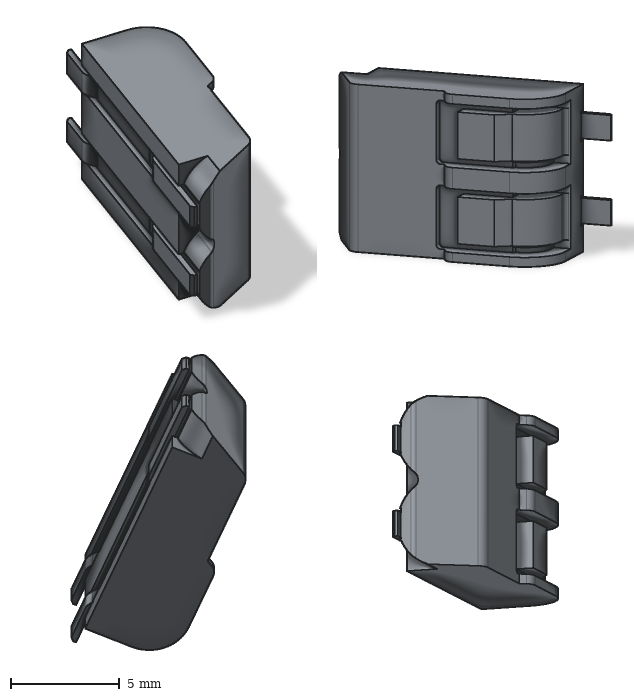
import cadquery as cq
import math


overall_length = 13.1
overall_height = 4.5
housing_width = 7.9
pole_pitch = 4.0
pole_centers = (-pole_pitch / 2, pole_pitch / 2)
housing_start = 1.4
housing_base = 0.15
rear_radius = 2.0
shoulder_height = 3.96
shoulder_foot_x = 6.81
slope_angle = math.radians(60)
slope_foot_height = 1.05
crest_radius = 0.5
brow_radius = 0.6
nose_radius = 0.45

nose_start = 11.49
scallop_radius = 2.08
scallop_axis_height = 2.36
valley_edge = 0.37

groove_width = 1.4
groove_floor = 0.44
lead_width = 1.2
lead_thickness = 0.3
lead_chamfer = 0.15
lead_embed = 0.2
tail_bend_start = 1.71
tail_bend_radius = 0.7
tail_bend_angle = math.radians(42)
pad_bend_start = 9.2
pad_bend_radius = 0.45
pad_bend_angle = math.radians(30)
pad_slope_run = 0.5
pad_end = 7.92

recess_width = 3.0
recess_floor = 1.76
recess_end = 7.2
recess_corner_radius = 0.2
ledge_height = 3.52
ledge_x = 3.6
lever_width = 2.2
lever_axis = (3.48, 2.17)
lever_radius = 1.75
lever_foot_radius = 0.19
lever_grip_height = 4.36
lever_grip_start = 4.2
lever_grip_end = 6.0
boss_radius = 1.24
boss_width = 0.24


def plate(profile, width, center):
    """Extrude an XY profile symmetrically about Z = center."""
    return profile.extrude(width / 2, both=True).translate((0, 0, center))


def outline(x, y):
    return cq.Workplane("XY").moveTo(x, y)


def housing():
    slope = math.tan(slope_angle)
    crest_x = shoulder_foot_x - (overall_height - shoulder_height) / slope
    brow_x = overall_length - (shoulder_height - slope_foot_height) / slope
    profile = (
        outline(housing_start, housing_base)
        .lineTo(housing_start, overall_height)
        .lineTo(crest_x, overall_height)
        .lineTo(shoulder_foot_x, shoulder_height)
        .lineTo(brow_x, shoulder_height)
        .lineTo(overall_length, slope_foot_height)
        .lineTo(overall_length, housing_base)
        .close()
    )
    block = plate(profile, housing_width, 0)

    def rounded(body, x, y, radius):
        probe = cq.selectors.NearestToPointSelector((x, y, 0))
        return body.edges("|Z").edges(probe).fillet(radius)

    block = rounded(block, housing_start, overall_height, rear_radius)
    block = rounded(block, crest_x, overall_height, crest_radius)
    block = rounded(block, brow_x, shoulder_height, brow_radius)
    return rounded(block, overall_length, slope_foot_height, nose_radius)


def nose_relief():
    """Space below the nose: one bulge per pole with a rounded valley between them."""
    half_pitch = pole_pitch / 2
    half_width = housing_width / 2

    def bulge_height(offset):
        return scallop_axis_height - math.sqrt(scallop_radius**2 - offset**2)

    valley_offset = half_pitch - valley_edge
    valley_radius = scallop_radius * valley_edge / valley_offset
    inflection = bulge_height(valley_offset)
    valley_axis = inflection - math.sqrt(valley_radius**2 - valley_edge**2)
    bulge_bottom = scallop_axis_height - scallop_radius
    side_height = bulge_height(half_width - half_pitch)
    profile = (
        cq.Workplane("YZ", origin=(nose_start, 0, 0))
        .moveTo(0, -half_width)
        .lineTo(side_height, -half_width)
        .threePointArc((bulge_bottom, -half_pitch), (inflection, -valley_edge))
        .threePointArc((valley_axis + valley_radius, 0), (inflection, valley_edge))
        .threePointArc((bulge_bottom, half_pitch), (side_height, half_width))
        .lineTo(0, half_width)
        .close()
    )
    return profile.extrude(overall_length - nose_start)


def groove(center):
    profile = outline(0, 0).rect(overall_length, groove_floor, centered=False)
    return plate(profile, groove_width, center)


def bend_end(start, radius, angle, direction):
    """End point of an upward bend that leaves a level line in the given X direction."""
    x, y = start
    return (x + direction * radius * math.sin(angle), y + radius * (1 - math.cos(angle)))


def tail_lead(center):
    """Rear lead: level tail that bends up into the groove floor."""
    inner_radius = tail_bend_radius - lead_thickness
    outer_start = (tail_bend_start, 0)
    inner_start = (tail_bend_start, lead_thickness)
    outer_mid = bend_end(outer_start, tail_bend_radius, tail_bend_angle / 2, 1)
    outer_end = bend_end(outer_start, tail_bend_radius, tail_bend_angle, 1)
    inner_mid = bend_end(inner_start, inner_radius, tail_bend_angle / 2, 1)
    inner_end = bend_end(inner_start, inner_radius, tail_bend_angle, 1)
    rise = groove_floor + lead_embed - outer_end[1]
    run = rise / math.tan(tail_bend_angle)
    profile = (
        outline(lead_chamfer, 0)
        .lineTo(*outer_start)
        .threePointArc(outer_mid, outer_end)
        .lineTo(outer_end[0] + run, outer_end[1] + rise)
        .lineTo(inner_end[0] + run, inner_end[1] + rise)
        .lineTo(*inner_end)
        .threePointArc(inner_mid, inner_start)
        .lineTo(0, lead_thickness)
        .lineTo(0, lead_chamfer)
        .close()
    )
    return plate(profile, lead_width, center)


def pad_lead(center):
    """Front lead: level pad, a gentle ramp, then a level end just proud of the groove floor."""
    start = (pad_bend_start, 0)
    lower_mid = bend_end(start, pad_bend_radius, pad_bend_angle / 2, -1)
    lower_end = bend_end(start, pad_bend_radius, pad_bend_angle, -1)
    ramp_top = (lower_end[0] - pad_slope_run, lower_end[1] + pad_slope_run * math.tan(pad_bend_angle))
    bend_run = pad_bend_start - lower_end[0]
    level_x = ramp_top[0] - bend_run
    level_y = ramp_top[1] + lower_end[1]
    upper_mid = (level_x + pad_bend_start - lower_mid[0], level_y - lower_mid[1])
    embedded_top = groove_floor + lead_embed
    ramp_back_x = pad_bend_start - (embedded_top - lead_thickness) / math.tan(pad_bend_angle)
    profile = (
        outline(overall_length - lead_chamfer, 0)
        .lineTo(*start)
        .threePointArc(lower_mid, lower_end)
        .lineTo(*ramp_top)
        .threePointArc(upper_mid, (level_x, level_y))
        .lineTo(pad_end, level_y)
        .lineTo(pad_end, embedded_top)
        .lineTo(ramp_back_x, embedded_top)
        .lineTo(pad_bend_start, lead_thickness)
        .lineTo(overall_length, lead_thickness)
        .lineTo(overall_length, lead_chamfer)
        .close()
    )
    return plate(profile, lead_width, center)


def lever_recess(center):
    """Deep pocket at the rear, continued forward above the ledge with rounded end corners."""
    deep = outline(0, recess_floor).rect(ledge_x, overall_height - recess_floor, centered=False)
    shallow = outline(0, ledge_height).rect(recess_end, overall_height - ledge_height, centered=False)
    upper = plate(shallow, recess_width, center).edges("|Y and >X").fillet(recess_corner_radius)
    return plate(deep, recess_width, center).union(upper)


def point_on(axis, radius, degrees):
    angle = math.radians(degrees)
    return (axis[0] + radius * math.cos(angle), axis[1] + radius * math.sin(angle))


def lever(center):
    """Rounded lever with a filleted foot and a raised grip on top."""
    axis_x, axis_y = lever_axis
    back_x = axis_x - lever_radius
    top_y = axis_y + lever_radius
    foot_center = (back_x - lever_foot_radius, recess_floor + lever_foot_radius)
    profile = (
        outline(foot_center[0], recess_floor)
        .threePointArc(point_on(foot_center, lever_foot_radius, -45), (back_x, foot_center[1]))
        .lineTo(back_x, axis_y)
        .threePointArc(point_on(lever_axis, lever_radius, 135), (axis_x, top_y))
        .lineTo(lever_grip_start, lever_grip_height)
        .lineTo(lever_grip_end, lever_grip_height)
        .lineTo(lever_grip_end, recess_floor)
        .close()
    )
    return plate(profile, lever_width, center)


def lever_boss(center):
    """Rounded bearing boss standing against a side wall of the recess."""
    axis_x, axis_y = lever_axis
    back_x = axis_x - boss_radius
    profile = (
        outline(back_x, recess_floor)
        .lineTo(back_x, axis_y)
        .threePointArc(point_on(lever_axis, boss_radius, 135), (axis_x, axis_y + boss_radius))
        .lineTo(ledge_x, ledge_height)
        .lineTo(ledge_x, recess_floor)
        .close()
    )
    return plate(profile, boss_width, center)


def terminal_block():
    body = housing().cut(nose_relief())
    boss_offset = (recess_width - boss_width) / 2
    for center in pole_centers:
        body = body.cut(groove(center)).cut(lever_recess(center))
        for side in (-1, 1):
            body = body.union(lever_boss(center + side * boss_offset))
        body = body.union(lever(center))
        body = body.union(tail_lead(center)).union(pad_lead(center))
    return body


result = terminal_block()